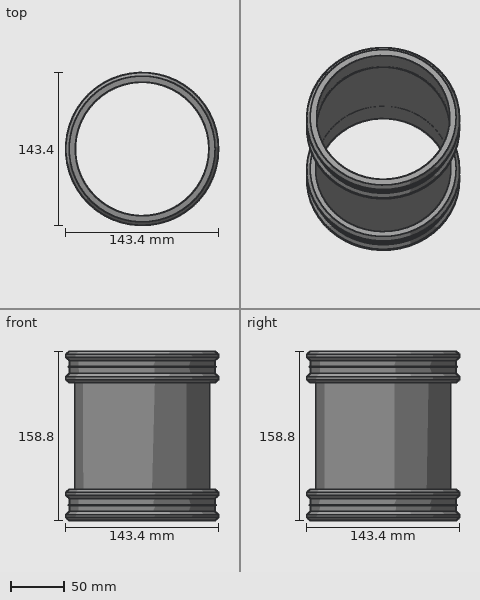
import cadquery as cq

total_length = 158.8
bore_radius = 125.0 / 2
tube_radius = 126.9 / 2
collar_radius = 136.7 / 2
flange_radius = 143.4 / 2
flange_height = 8.7
flange_land = 2.7
groove_width = 12.0
lip_radius = 69.4
lip_offset = 5.4
lip_height = 1.0

half_length = total_length / 2
collar_height = 2 * flange_height + groove_width
flange_slope = (flange_height - flange_land) / 2
tube_length = total_length - 2 * collar_height


def flange_points(top):
    """Outer profile of one bevelled flange, from its top edge downwards."""
    bottom = top - flange_height
    return [
        (collar_radius, top),
        (flange_radius, top - flange_slope),
        (flange_radius, bottom + flange_slope),
        (collar_radius, bottom),
    ]


def lip_points(top):
    """Outer profile of the thin V-shaped lip, from its top edge downwards."""
    return [
        (collar_radius, top),
        (lip_radius, top - lip_height / 2),
        (collar_radius, top - lip_height),
    ]


def make_collar():
    """Upper collar: two flanges with a lip in the groove between them."""
    collar_bottom = half_length - collar_height
    outer_flange_bottom = half_length - flange_height
    profile = [
        (bore_radius, half_length),
        *flange_points(half_length),
        *lip_points(outer_flange_bottom - lip_offset),
        *flange_points(collar_bottom + flange_height),
        (bore_radius, collar_bottom),
    ]
    return cq.Workplane("XZ").polyline(profile).close().revolve(360, (0, 0, 0), (0, 1, 0))


def make_tube():
    """Thin-walled tube that spans the gap between the collars."""
    return (
        cq.Workplane("XY", origin=(0, 0, -tube_length / 2))
        .circle(tube_radius)
        .circle(bore_radius)
        .extrude(tube_length)
    )


end_collar = make_collar()

pipe = make_tube().union(make_collar().mirror("XY"))

result = cq.Compound.makeCompound([end_collar.val(), pipe.val()])